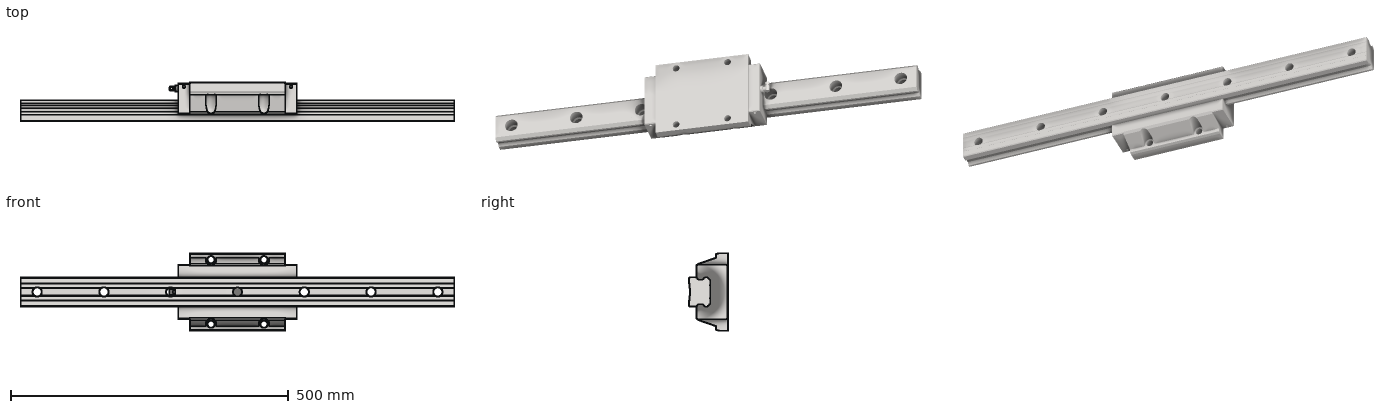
import cadquery as cq

RAIL_LENGTH = 780
RAIL_HEIGHT = 38.0
RAIL_HALF_WIDTH = 26.5
RAIL_CROWN_HALF_WIDTH = 21.0
RAIL_NECK_HALF_WIDTH = 22.0
FOOT_HEIGHT = 12.5
NECK_BOTTOM_Y = 17.0
NECK_TOP_Y = 24.0
HEAD_BOTTOM_Y = 29.0
HEAD_TOP_Y = 33.0
FOOT_CHAMFER = 1.5
RELIEF_HALF_WIDTH = 15.5
RELIEF_DEPTH = 1.0
GROOVE_HALF_WIDTH = 8
GROOVE_DEPTH = 1.0
GROOVE_TOP_HALF_WIDTH = 6.0

RAIL_HOLE_COUNT = 7
RAIL_HOLE_PITCH = 120.0
RAIL_HOLE_DIAMETER = 16.0
RAIL_BORE_DIAMETER = 23.5
RAIL_BORE_DEPTH = 20.0

CARRIAGE_TOP_Y = 70
CARRIAGE_BOTTOM_Y = 13.0
CARRIAGE_LENGTH = 214.0
BLOCK_LENGTH = 171.5
CAP_LENGTH = (CARRIAGE_LENGTH - BLOCK_LENGTH) / 2
CAP_HALF_WIDTH = 49.0
CAP_TOP_Y = 69.0
CAP_CHAMFER = 1.5
CAP_PORT_DIAMETER = 5.0
CAP_PORT_DEPTH = 4.0
CAP_PORT_Y = 62.5

FLANGE_HALF_WIDTH = 140.0 / 2
FLANGE_BOTTOM_Y = 48.0
FLANGE_BEVEL_HEIGHT = 5.5
FLANGE_BEVEL_DEPTH = 1.5
SLOPE_TOP_HALF_WIDTH = 62.0
SLOPE_BOTTOM_HALF_WIDTH = 51.0
SLOPE_BOTTOM_Y = 17.0
BLOCK_BOTTOM_HALF_WIDTH = 47

MOUNT_SPACING_X = 95.0
MOUNT_SPACING_Z = 116.0
MOUNT_HOLE_DIAMETER = 12.5
SPOTFACE_DIAMETER = 19.5

NIPPLE_Y = 59.0
NIPPLE_BASE_DIAMETER = 12.5
NIPPLE_BASE_LENGTH = 5.0
NIPPLE_BODY_DIAMETER = 8
NIPPLE_NOZZLE_DIAMETER = 8.5
NIPPLE_TIP_CHAMFER = 1.5
NIPPLE_REACH = 12.0
NIPPLE_BOTTOM_Z = -5.5
NIPPLE_NECK_Z = 5.0
NIPPLE_HEAD_Z = 7.0
NIPPLE_TOP_Z = 13.0
NIPPLE_NECK_DIAMETER = 7.0


def extrude_along_x(half_outline, length, centre_x):
    """Extrude a section given as (z, y) points of its +Z half, mirrored about Z = 0."""
    mirrored = [(-z, y) for z, y in reversed(half_outline) if z > 0]
    plane = cq.Plane(origin=(centre_x, 0, 0), xDir=(0, 0, -1), normal=(1, 0, 0))
    return cq.Workplane(plane).polyline(half_outline + mirrored).close().extrude(length / 2, both=True)


def cylinder_along_y(x, z, diameter, y_start, y_end):
    return cq.Workplane(cq.Solid.makeCylinder(
        diameter / 2, y_end - y_start, cq.Vector(x, y_start, z), cq.Vector(0, 1, 0)))


def rail_section():
    relief_top_half_width = RELIEF_HALF_WIDTH - RELIEF_DEPTH
    groove_y = RELIEF_DEPTH + GROOVE_DEPTH
    return [
        (GROOVE_TOP_HALF_WIDTH, groove_y),
        (GROOVE_HALF_WIDTH, RELIEF_DEPTH),
        (relief_top_half_width, RELIEF_DEPTH),
        (RELIEF_HALF_WIDTH, 0),
        (RAIL_HALF_WIDTH - FOOT_CHAMFER, 0),
        (RAIL_HALF_WIDTH, FOOT_CHAMFER),
        (RAIL_HALF_WIDTH, FOOT_HEIGHT),
        (RAIL_NECK_HALF_WIDTH, NECK_BOTTOM_Y),
        (RAIL_NECK_HALF_WIDTH, NECK_TOP_Y),
        (RAIL_HALF_WIDTH, HEAD_BOTTOM_Y),
        (RAIL_HALF_WIDTH, HEAD_TOP_Y),
        (RAIL_CROWN_HALF_WIDTH, RAIL_HEIGHT),
    ]


def make_rail():
    rail = extrude_along_x(rail_section(), RAIL_LENGTH, 0)
    for index in range(RAIL_HOLE_COUNT):
        x = (index - (RAIL_HOLE_COUNT - 1) / 2) * RAIL_HOLE_PITCH
        rail = rail.cut(cylinder_along_y(x, 0, RAIL_HOLE_DIAMETER, 0, RAIL_HEIGHT))
        rail = rail.cut(cylinder_along_y(
            x, 0, RAIL_BORE_DIAMETER, RAIL_HEIGHT - RAIL_BORE_DEPTH, RAIL_HEIGHT))
    return rail


def make_block():
    block = extrude_along_x([
        (BLOCK_BOTTOM_HALF_WIDTH, CARRIAGE_BOTTOM_Y),
        (SLOPE_BOTTOM_HALF_WIDTH, SLOPE_BOTTOM_Y),
        (SLOPE_TOP_HALF_WIDTH, FLANGE_BOTTOM_Y),
        (FLANGE_HALF_WIDTH - FLANGE_BEVEL_DEPTH, FLANGE_BOTTOM_Y),
        (FLANGE_HALF_WIDTH, FLANGE_BOTTOM_Y + FLANGE_BEVEL_HEIGHT),
        (FLANGE_HALF_WIDTH, CARRIAGE_TOP_Y),
    ], BLOCK_LENGTH, 0)
    for x_side in (-1, 1):
        for z_side in (-1, 1):
            x = x_side * MOUNT_SPACING_X / 2
            z = z_side * MOUNT_SPACING_Z / 2
            block = block.cut(cylinder_along_y(
                x, z, MOUNT_HOLE_DIAMETER, FLANGE_BOTTOM_Y, CARRIAGE_TOP_Y))
            block = block.cut(cylinder_along_y(
                x, z, SPOTFACE_DIAMETER, CARRIAGE_BOTTOM_Y, FLANGE_BOTTOM_Y))
    return block


def make_end_cap(x_side):
    """End cap on one side of the block, with a lubrication port in each flank."""
    centre_x = x_side * (BLOCK_LENGTH + CAP_LENGTH) / 2
    cap = extrude_along_x([
        (CAP_HALF_WIDTH, CARRIAGE_BOTTOM_Y),
        (CAP_HALF_WIDTH, CAP_TOP_Y),
    ], CAP_LENGTH, centre_x).edges("|X").chamfer(CAP_CHAMFER)
    for z_side in (-1, 1):
        port = cq.Solid.makeCylinder(
            CAP_PORT_DIAMETER / 2, CAP_PORT_DEPTH,
            cq.Vector(centre_x, CAP_PORT_Y, z_side * CAP_HALF_WIDTH), cq.Vector(0, 0, -z_side))
        cap = cap.cut(cq.Workplane(port))
    return cap


def make_carriage():
    carriage = make_block().union(make_end_cap(-1)).union(make_end_cap(1))
    return carriage.cut(extrude_along_x(rail_section(), RAIL_LENGTH, 0))


def make_nipple():
    face_x = -CARRIAGE_LENGTH / 2
    face_centre = cq.Vector(face_x, NIPPLE_Y, 0)
    outward = cq.Vector(-1, 0, 0)
    base = cq.Solid.makeCylinder(NIPPLE_BASE_DIAMETER / 2, NIPPLE_BASE_LENGTH, face_centre, outward)
    body = cq.Solid.makeCylinder(NIPPLE_BODY_DIAMETER / 2, NIPPLE_REACH, face_centre, outward)
    radius = NIPPLE_NOZZLE_DIAMETER / 2
    neck_radius = NIPPLE_NECK_DIAMETER / 2
    nozzle_plane = cq.Plane.XZ(origin=(face_x - NIPPLE_REACH, NIPPLE_Y, 0))
    nozzle = cq.Workplane(nozzle_plane).polyline([
        (0, NIPPLE_BOTTOM_Z),
        (radius, NIPPLE_BOTTOM_Z),
        (radius, NIPPLE_NECK_Z),
        (neck_radius, NIPPLE_NECK_Z),
        (neck_radius, NIPPLE_HEAD_Z),
        (radius, NIPPLE_HEAD_Z),
        (radius, NIPPLE_TOP_Z - NIPPLE_TIP_CHAMFER),
        (radius - NIPPLE_TIP_CHAMFER, NIPPLE_TOP_Z),
        (0, NIPPLE_TOP_Z),
    ]).close().revolve(360, (0, 0), (0, 1))
    return cq.Workplane(base).union(cq.Workplane(body)).union(nozzle)


rail = make_rail()
carriage = make_carriage()
nipple = make_nipple()

result = cq.Compound.makeCompound([rail.val(), carriage.val(), nipple.val()])